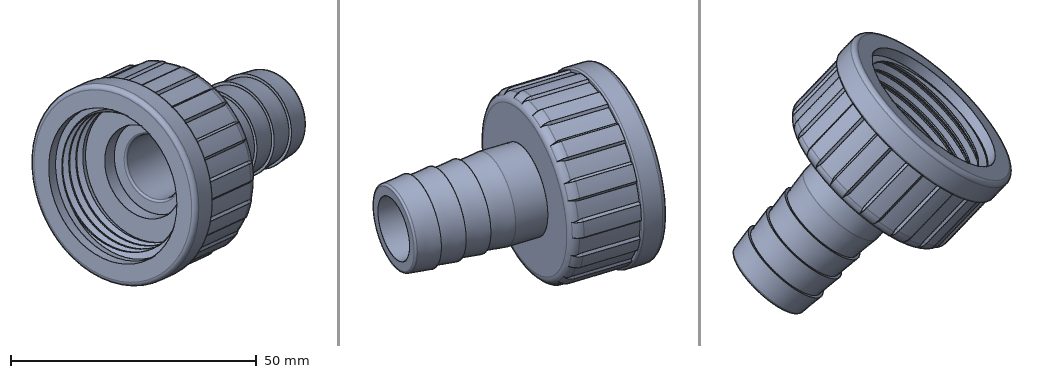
import cadquery as cq
import math

length = 51.6

rim_diameter = 43.0
rim_height = 5.7
rim_mouth_fillet = 1.05
rim_back_fillet = 0.35
nut_height = 21.5
grip_radius = 20.45
grip_fillet = 1.9
rib_count = 15
rib_radius = 20.95
rib_fillet = 2.75
rib_slab_width = 3.35
rib_flare = 0.8
rib_side_taper = 50
rib_trim = 0.1
nut_back_wall = 3.1

mouth_diameter = 33.25
mouth_depth = 2.25
thread_crest_diameter = 30.0
thread_depth = 1.6
thread_pitch = 2.3
flank_half_angle = 27.5
groove_count = 4
first_groove_y = 1.75
groove_root_width = 0.3
groove_tilt = math.degrees(math.atan(thread_pitch / 2 / thread_crest_diameter))

washer_front = 10.05
washer_thickness = 3.15
washer_bore_diameter = 20.0
washer_back = washer_front + washer_thickness

tail_diameter = 20.3
tail_bore_diameter = 14.0
bore_fillet = 0.45
barb_small_diameter = 19.0
barb_count = 4
barb_pitch = 5.7
tip_fillet = 0.5
flange_back = nut_height - nut_back_wall


def cylinder(diameter, start, end):
    """Solid cylinder on the Y axis from y = start to y = end."""
    return cq.Workplane("XZ", origin=(0, start, 0)).circle(diameter / 2).extrude(start - end)


def revolve_about_y(profile):
    """Full turn of a profile drawn in XY, with X as the radius."""
    return profile.revolve(360, (0, 0, 0), (0, 1, 0))


def make_grip_core(radius, fillet):
    """Cylinder from the rim to the nut's back, with a rounded back edge."""
    return cylinder(2 * radius, rim_height / 2, nut_height).faces(">Y").edges().fillet(fillet)


def make_rib_slab(thickness, taper=0):
    """Slab on the +X side of the plane X = 0, rooted in the core at -Z, with the rib's outline."""
    outer = rib_radius + rib_trim
    back = nut_height + rib_trim
    fillet = rib_fillet + rib_trim
    return (
        cq.Workplane("YZ")
        .moveTo(rim_height / 2, -rib_radius / 2)
        .lineTo(rim_height / 2, -outer)
        .lineTo(back - fillet, -outer)
        .radiusArc((back, fillet - outer), -fillet)
        .lineTo(back, -rib_radius / 2)
        .close()
        .extrude(thickness, taper=taper)
    )


def make_rib():
    """Grip rib on -Z; its sides slope down to the core along the rounded back edge too."""
    half_width = rib_slab_width / 2
    side = make_rib_slab(rib_flare, rib_side_taper).translate((half_width, 0, 0))
    rib = make_rib_slab(rib_slab_width).translate((-half_width, 0, 0))
    rib = rib.union(side).union(side.mirror("YZ"))
    return rib.intersect(make_grip_core(rib_radius, rib_fillet))


def make_groove(center_y):
    """Ring with a tapered section that cuts one thread groove, deeper into the nut on the +X side."""
    crest = thread_crest_diameter / 2
    root_half = groove_root_width / 2
    outer_radius = crest + thread_depth
    inner_radius = crest - thread_depth
    flank_width = (outer_radius - inner_radius) * math.tan(math.radians(flank_half_angle))
    inner_half = root_half + flank_width
    ring = revolve_about_y(
        cq.Workplane("XY")
        .polyline([
            (inner_radius, -inner_half),
            (outer_radius, -root_half),
            (outer_radius, root_half),
            (inner_radius, inner_half),
        ])
        .close()
    )
    return ring.rotate((0, 0, 0), (0, 0, 1), groove_tilt).translate((0, center_y, 0))


def make_nut():
    rim = cylinder(rim_diameter, 0, rim_height)
    rim = rim.faces("<Y").edges().fillet(rim_mouth_fillet).faces(">Y").edges().fillet(rim_back_fillet)
    nut = rim.union(make_grip_core(grip_radius, grip_fillet))
    rib = make_rib()
    for i in range(rib_count):
        nut = nut.union(rib.rotate((0, 0, 0), (0, 1, 0), i * 360 / rib_count))
    nut = nut.cut(cylinder(thread_crest_diameter, 0, flange_back))
    nut = nut.cut(cylinder(mouth_diameter, 0, mouth_depth))
    nut = nut.cut(cylinder(tail_diameter, 0, nut_height))
    for i in range(groove_count):
        nut = nut.cut(make_groove(first_groove_y + i * thread_pitch))
    return nut


def make_washer():
    washer = cylinder(thread_crest_diameter, washer_front, washer_back)
    return washer.cut(cylinder(washer_bore_diameter, washer_front, washer_back))


def make_tail():
    """Flanged hose tail whose barbs widen away from the hose end."""
    bore = tail_bore_diameter / 2
    outer = tail_diameter / 2
    small = barb_small_diameter / 2
    flange = thread_crest_diameter / 2
    outline = (
        cq.Workplane("XY")
        .moveTo(bore + bore_fillet, washer_back)
        .lineTo(flange, washer_back)
        .lineTo(flange, flange_back)
        .lineTo(outer, flange_back)
    )
    for i in reversed(range(barb_count)):
        tip = length - i * barb_pitch
        outline = outline.lineTo(outer, tip - barb_pitch).lineTo(small, tip)
    outline = outline.lineTo(bore, length).lineTo(bore, washer_back + bore_fillet)
    outline = outline.radiusArc((bore + bore_fillet, washer_back), -bore_fillet).close()
    tail = revolve_about_y(outline)
    largest_circle = cq.selectors.RadiusNthSelector(-1)
    return tail.faces(">Y").edges(largest_circle).fillet(tip_fillet)


nut = make_nut()
washer = make_washer()
tail = make_tail()

result = cq.Compound.makeCompound([nut.val(), washer.val(), tail.val()])